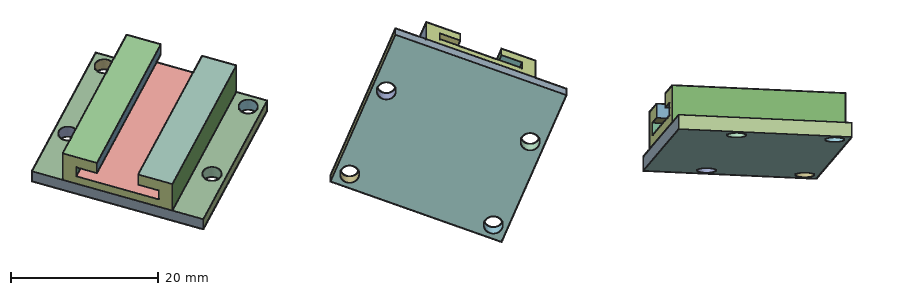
import cadquery as cq

plate_width = 25.0
plate_length = 24.0
plate_thickness = 2.0

hole_diameter = 2.6
hole_side_margin = 2.0
hole_rear_margin = 2.0
hole_pitch_y = 13.6

rail_width = 16.0
rail_height = 5.2
wall_thickness = 2.0
lip_thickness = 2.0
floor_thickness = 1.45
slot_width = 6.0


def make_plate():
    """Flat base, centred in X and Y, with two through holes along each side."""
    hole_x = plate_width / 2 - hole_side_margin
    rear_hole_y = plate_length / 2 - hole_rear_margin
    hole_points = [
        (side * hole_x, y)
        for side in (-1, 1)
        for y in (rear_hole_y, rear_hole_y - hole_pitch_y)
    ]
    plate = cq.Workplane("XY").box(
        plate_width, plate_length, plate_thickness, centered=(True, True, False)
    )
    return plate.faces(">Z").workplane().pushPoints(hole_points).hole(hole_diameter)


def make_rail():
    """C-section rail on top of the plate, open upward through a narrower slot."""
    outer_x = rail_width / 2
    channel_x = outer_x - wall_thickness
    slot_x = slot_width / 2
    bottom_z = plate_thickness
    floor_z = bottom_z + floor_thickness
    top_z = bottom_z + rail_height
    lip_z = top_z - lip_thickness

    right_half = [
        (outer_x, bottom_z),
        (outer_x, top_z),
        (slot_x, top_z),
        (slot_x, lip_z),
        (channel_x, lip_z),
        (channel_x, floor_z),
    ]
    left_half = [(-x, z) for x, z in reversed(right_half)]
    return (
        cq.Workplane("XZ")
        .polyline(right_half + left_half)
        .close()
        .extrude(plate_length / 2, both=True)
    )


plate = make_plate()
rail = make_rail()

result = cq.Compound.makeCompound([plate.val(), rail.val()])